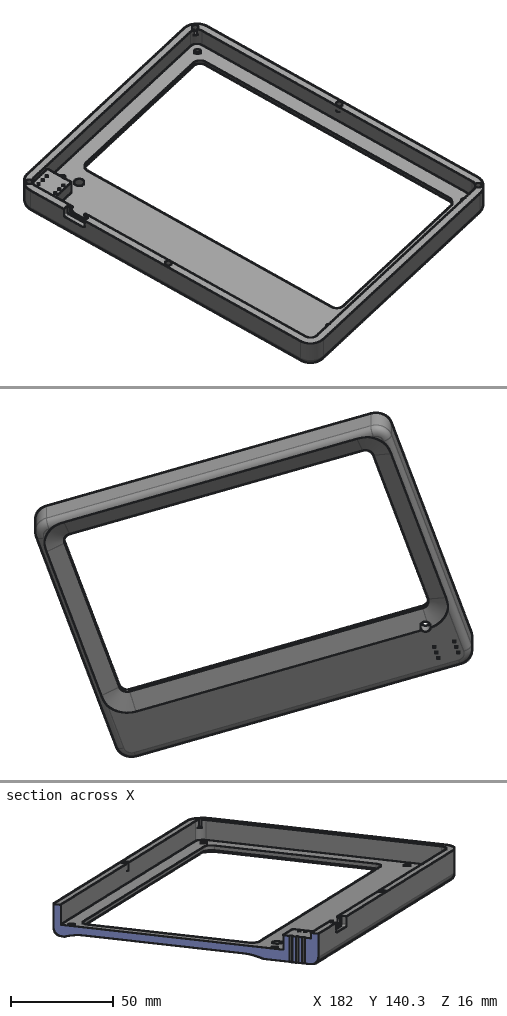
import cadquery as cq
import math

LENGTH = 182.0
WIDTH = 140.3
HEIGHT = 16.0
WALL = 4.0
FLOOR = 6.0
CORNER_RADIUS = 8.0
BOTTOM_FILLET = 4.0

WINDOW_LENGTH = 158.0
WINDOW_WIDTH = 93.2
WINDOW_CENTER_Y = 11.6
WINDOW_RADIUS = 4.0

BEVEL_REACH = 9.6
BEVEL_HEIGHT = 3.6

SCREW_DIAMETER = 3.3
RIM_SCREW_DEPTH = 4.0
FLOOR_SCREW_DEPTH = 2.0
CORNER_SCREW_X = LENGTH / 2 - WALL
CORNER_SCREW_Y = 65.9
MIDDLE_SCREW_Y = 67.9
FLOOR_SCREW_X = 82.0
FLOOR_SCREW_BACK_Y = 61.3
FLOOR_SCREW_FRONT_Y = -46.0

BUTTON_DIAMETER = 5.0
BUTTON_X = -73.5
BUTTON_Y = -43.7

PAD_LENGTH = 14.7
PAD_WIDTH = 14.7
PAD_HEIGHT = 7.3
PIN_DIAMETER = 1.2
PIN_COLUMNS_X = (-84.3, -74.0)
PIN_MIDDLE_Y = -58.8
PIN_PITCH = 3.3

CONNECTOR_X = -56.0
PLUG_RECESS_LENGTH = 12.7
PLUG_RECESS_HEIGHT = 5.1
PLUG_RECESS_DEPTH = 2.7
PLUG_RECESS_FILLET = 1.1
SOCKET_LENGTH = 9.5
SOCKET_HEIGHT = 4.4
SOCKET_CENTER_DROP = 1.8

CAVITY_LENGTH = LENGTH - 2 * WALL
CAVITY_WIDTH = WIDTH - 2 * WALL
FRONT_Y = -WIDTH / 2


def rounded_block(length, width, height, radius, base_z):
    """Block centered in X and Y with rounded vertical edges."""
    block = cq.Workplane("XY").workplane(offset=base_z).rect(length, width).extrude(height)
    return block.edges("|Z").fillet(radius)


def drill(points, diameter, top_z, depth):
    """Cylinders reaching down from top_z at each point."""
    plane = cq.Workplane("XY").workplane(offset=top_z)
    return plane.pushPoints(points).circle(diameter / 2).extrude(-depth)


def make_cavity():
    """Space above the floor and inside the walls."""
    return rounded_block(CAVITY_LENGTH, CAVITY_WIDTH, HEIGHT - FLOOR, CORNER_RADIUS - WALL, FLOOR)


def make_bevel():
    """Tapered block that narrows upwards from the underside to the window outline."""
    taper = math.degrees(math.atan2(BEVEL_REACH, BEVEL_HEIGHT))
    outline = cq.Sketch().rect(WINDOW_LENGTH + 2 * BEVEL_REACH, WINDOW_WIDTH + 2 * BEVEL_REACH)
    outline = outline.vertices().fillet(WINDOW_RADIUS + BEVEL_REACH)
    return cq.Workplane("XY").placeSketch(outline).extrude(BEVEL_HEIGHT, taper=taper)


def make_shell():
    """Open tray with a rounded bottom edge and a beveled window in its floor."""
    outer = rounded_block(LENGTH, WIDTH, HEIGHT, CORNER_RADIUS, 0)
    outer = outer.faces("<Z").edges().fillet(BOTTOM_FILLET)
    window = rounded_block(WINDOW_LENGTH, WINDOW_WIDTH, HEIGHT, WINDOW_RADIUS, 0)
    opening = window.union(make_bevel()).translate((0, WINDOW_CENTER_Y, 0))
    return outer.cut(make_cavity()).cut(opening)


def make_pad():
    """Square pad on the floor, trimmed to the rounded corner of the cavity."""
    pad = cq.Workplane("XY").box(PAD_LENGTH, PAD_WIDTH, PAD_HEIGHT, centered=False)
    pad = pad.translate((-CAVITY_LENGTH / 2, -CAVITY_WIDTH / 2, FLOOR))
    return pad.intersect(make_cavity())


def make_connector_opening():
    """Outer recess for the plug, followed by a slot for the socket through the rest of the wall."""
    recess = cq.Workplane("XY").box(PLUG_RECESS_LENGTH, PLUG_RECESS_DEPTH, PLUG_RECESS_HEIGHT)
    recess = recess.edges("|Y and <Z").fillet(PLUG_RECESS_FILLET)
    recess = recess.translate(
        (CONNECTOR_X, FRONT_Y + PLUG_RECESS_DEPTH / 2, HEIGHT - PLUG_RECESS_HEIGHT / 2)
    )
    socket = (
        cq.Workplane("XZ", origin=(CONNECTOR_X, FRONT_Y, HEIGHT - SOCKET_CENTER_DROP))
        .slot2D(SOCKET_LENGTH, SOCKET_HEIGHT)
        .extrude(-WALL)
    )
    return recess.union(socket)


rim_screws = [
    (-CORNER_SCREW_X, CORNER_SCREW_Y),
    (CORNER_SCREW_X, CORNER_SCREW_Y),
    (-CORNER_SCREW_X, -CORNER_SCREW_Y),
    (0, MIDDLE_SCREW_Y),
    (0, -MIDDLE_SCREW_Y),
]
floor_screws = [
    (side * FLOOR_SCREW_X, y) for side in (-1, 1) for y in (FLOOR_SCREW_BACK_Y, FLOOR_SCREW_FRONT_Y)
]
pins = [(x, PIN_MIDDLE_Y + row * PIN_PITCH) for x in PIN_COLUMNS_X for row in (-1, 0, 1)]

result = (
    make_shell()
    .union(make_pad())
    .cut(drill(rim_screws, SCREW_DIAMETER, HEIGHT, RIM_SCREW_DEPTH))
    .cut(drill(floor_screws, SCREW_DIAMETER, FLOOR, FLOOR_SCREW_DEPTH))
    .cut(drill([(BUTTON_X, BUTTON_Y)], BUTTON_DIAMETER, FLOOR, FLOOR))
    .cut(drill(pins, PIN_DIAMETER, HEIGHT, HEIGHT))
    .cut(make_connector_opening())
)